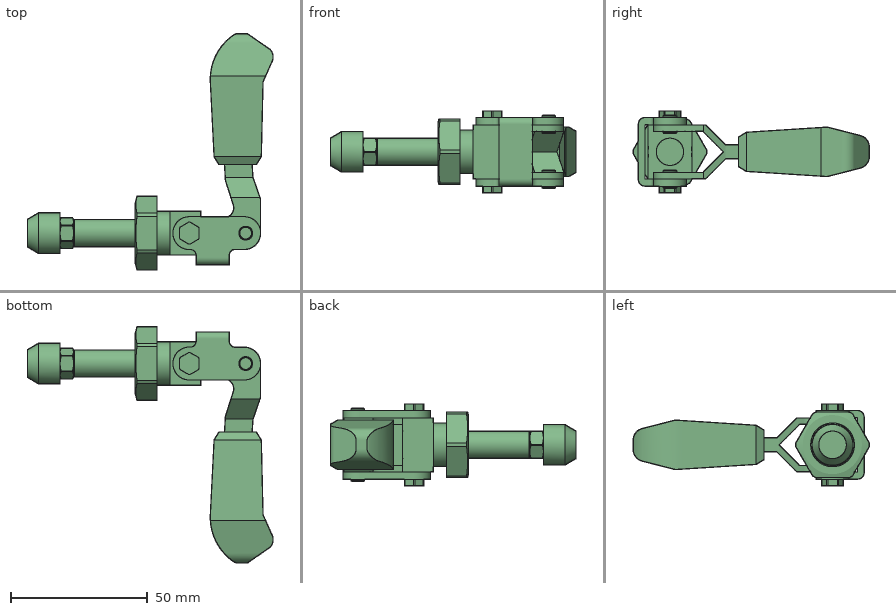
import cadquery as cq
import math


cap_radius = 7.5
cap_face_radius = 5.0
cap_length = 12.05
cap_cone_length = 4.1
spindle_hex_flats = 10.0
spindle_hex_corner_radius = 5.7
spindle_hex_length = 4.9
spindle_hex_chamfer = 0.4
spindle_hex_face_radius = 5.0

plunger_diameter = 10.0
plunger_chamfer = 0.4

nut_start = 39.4
nut_length = 8.1
nut_flats = 24.0
nut_corner_radius = 13.5
nut_face_radius = 10.8
nut_chamfer = 0.7

neck_radius = 8.0
neck_chamfer = 0.45
block_start = 52.3
block_end = 63.5
block_half_height = 9.9

bracket_half_height = 12.6
plate_radius = 6.0
plate_front_center = 59.3
plate_rear_center = 79.3
web_start = 61.7
web_end = 73.9
web_outer_y = -11.6
web_thickness = 2.5
notch_radius = 2.0
bolt_flats = 7.2
bolt_corner_diameter = 8.0
bolt_head_height = 2.4
pivot_x = 79.9
pivot_radius = 2.5
pivot_chamfer = 0.4
pivot_protrusion = 0.8

leg_inner_z = 7.5
shank_half_height = 2.6
fork_bend_y = 13.0
foot_top_y = 5.6
lever_fillet = 3.7
arm_left_foot_x = 76.8
arm_left_bend = (72.4, 19.3)
arm_right_low_bend_y = 12.3
arm_right_high_bend = (82.6, 20.4)
shank_insertion = 13.5
shank_end_left_x = 71.3
shank_end_right_x = 81.4

grip_bottom_y = 25.0
grip_bottom_left_x = 70.1
grip_bottom_right_x = 83.7
grip_bottom_half_height = 5.4
grip_bevel_y = 28.0
grip_bevel_left_x = 68.3
grip_bevel_right_x = 85.6
grip_bevel_half_height = 7.2
grip_widest_y = 57.5
grip_widest_half_height = 9.1
grip_top_y = 72.95
grip_top_half_height = 5.1
grip_end_fillet = 4.5
grip_back_start = (66.9, 54.9)
grip_back_middle = (68.6, 64.3)
grip_back_end = (75.65, 72.6)
grip_top_left_x = 76.5
grip_top_right_x = 80.5
grip_nose_start = (88.7, 67.3)
grip_nose_tip = (89.95, 64.6)
grip_nose_end = (89.4, 62.4)
grip_finger_corner = (86.3, 55.3)

plunger_radius = plunger_diameter / 2
spindle_end = cap_length + spindle_hex_length
nut_end = nut_start + nut_length
shank_end_y = grip_bottom_y + shank_insertion
leg_thickness = block_half_height - leg_inner_z


def x_axis_revolve(profile):
    """Solid of revolution about the X axis from (x, radius) points."""
    return cq.Workplane("XY").polyline(profile).close().revolve(360, (0, 0, 0), (1, 0, 0))


def x_axis_cylinder(radius, start, end):
    return cq.Workplane("YZ", origin=(start, 0, 0)).circle(radius).extrude(end - start)


def hexagon_diameter(flats):
    """Corner-to-corner diameter of a hexagon from its width across flats."""
    return flats / math.cos(math.pi / 6)


def both_sides(upper):
    """The given shape together with its mirror image below Z = 0."""
    return upper.union(upper.mirror("XY"))


def make_spindle():
    cap = x_axis_revolve([
        (0, 0),
        (0, cap_face_radius),
        (cap_cone_length, cap_radius),
        (cap_length, cap_radius),
        (cap_length, 0),
    ])
    hexagon = (
        cq.Workplane("YZ", origin=(cap_length, 0, 0))
        .polygon(6, hexagon_diameter(spindle_hex_flats))
        .extrude(spindle_hex_length)
    )
    turned_envelope = x_axis_revolve([
        (cap_length, 0),
        (cap_length, spindle_hex_face_radius),
        (cap_length + spindle_hex_chamfer, spindle_hex_corner_radius),
        (spindle_end - spindle_hex_chamfer, spindle_hex_corner_radius),
        (spindle_end, spindle_hex_face_radius),
        (spindle_end, 0),
    ])
    return cap.union(hexagon.intersect(turned_envelope))


def make_plunger():
    rod = x_axis_cylinder(plunger_radius, spindle_end, block_end)
    return rod.faces("<X").chamfer(plunger_chamfer)


def make_nut():
    hexagon = (
        cq.Workplane("YZ", origin=(nut_start, 0, 0))
        .polygon(6, hexagon_diameter(nut_flats))
        .extrude(nut_length)
    )
    turned_envelope = x_axis_revolve([
        (nut_start, 0),
        (nut_start, nut_face_radius),
        (nut_start + nut_chamfer, nut_corner_radius),
        (nut_end, nut_corner_radius),
        (nut_end, 0),
    ])
    bore = x_axis_cylinder(neck_radius, nut_start, nut_end)
    return hexagon.intersect(turned_envelope).cut(bore)


def make_housing():
    neck = x_axis_cylinder(neck_radius, nut_start, block_end)
    neck = neck.faces("<X").edges().chamfer(neck_chamfer)
    block = (
        cq.Workplane("YZ", origin=(block_start, 0, 0))
        .rect(2 * neck_radius, 2 * block_half_height)
        .extrude(block_end - block_start)
    )
    bore = x_axis_cylinder(plunger_radius, nut_start, block_end)
    return neck.union(block).cut(bore)


def bracket_channel():
    """Plates and web, bent as one channel, with its outline cut to the lobed plate shape."""
    notch_y = -plate_radius - notch_radius
    fillet_middle = notch_radius * math.cos(math.pi / 4)
    outline = (
        cq.Workplane("XY", origin=(0, 0, -bracket_half_height))
        .moveTo(plate_front_center, plate_radius)
        .lineTo(plate_rear_center, plate_radius)
        .threePointArc((plate_rear_center + plate_radius, 0), (plate_rear_center, -plate_radius))
        .lineTo(web_end + notch_radius, -plate_radius)
        .threePointArc(
            (web_end + notch_radius - fillet_middle, notch_y + fillet_middle),
            (web_end, notch_y),
        )
        .lineTo(web_end, web_outer_y)
        .lineTo(web_start, web_outer_y)
        .lineTo(web_start, notch_y)
        .threePointArc(
            (web_start - notch_radius + fillet_middle, notch_y + fillet_middle),
            (web_start - notch_radius, -plate_radius),
        )
        .lineTo(plate_front_center, -plate_radius)
        .threePointArc((plate_front_center - plate_radius, 0), (plate_front_center, plate_radius))
        .close()
        .extrude(2 * bracket_half_height)
    )
    outline = outline.faces("<Y").edges("|X").fillet(web_thickness)
    inside_start = plate_front_center - plate_radius
    inside_end = plate_rear_center + plate_radius
    inside_floor = web_outer_y + web_thickness
    inside = (
        cq.Workplane("YZ", origin=(inside_start, 0, 0))
        .center((inside_floor + plate_radius) / 2, 0)
        .rect(plate_radius - inside_floor, 2 * block_half_height)
        .extrude(inside_end - inside_start)
    )
    return outline.cut(inside)


def bolt_head():
    """Hexagon head on the upper plate, corners turned off."""
    base = cq.Workplane("XY", origin=(plate_front_center, 0, bracket_half_height))
    hexagon = base.transformed(rotate=(0, 0, 90)).polygon(6, hexagon_diameter(bolt_flats))
    return hexagon.extrude(bolt_head_height).intersect(
        base.circle(bolt_corner_diameter / 2).extrude(bolt_head_height)
    )


def pivot_pin():
    """Pin through the upper plate and lever leg, standing out at both ends."""
    bottom = leg_inner_z - pivot_protrusion
    top = bracket_half_height + pivot_protrusion
    pin = cq.Workplane("XY", origin=(pivot_x, 0, bottom)).circle(pivot_radius).extrude(top - bottom)
    return pin.faces("<Z or >Z").chamfer(pivot_chamfer)


def make_bracket():
    return bracket_channel().union(both_sides(bolt_head())).union(both_sides(pivot_pin()))


def lever_arm():
    """Lever in outline along Z: a round-ended foot and a cranked arm."""
    foot_end = plate_rear_center + plate_radius
    arc_middle = plate_radius * math.cos(math.pi / 4)
    arm = (
        cq.Workplane("XY", origin=(0, 0, -block_half_height))
        .moveTo(block_end, -plate_radius)
        .lineTo(plate_rear_center, -plate_radius)
        .threePointArc((plate_rear_center + arc_middle, -arc_middle), (foot_end, 0))
        .lineTo(foot_end, arm_right_low_bend_y)
        .lineTo(*arm_right_high_bend)
        .lineTo(shank_end_right_x, shank_end_y)
        .lineTo(shank_end_left_x, shank_end_y)
        .lineTo(*arm_left_bend)
        .lineTo(arm_left_foot_x, foot_top_y)
        .lineTo(block_end, foot_top_y)
        .close()
        .extrude(2 * block_half_height)
    )
    foot_corner = cq.selectors.NearestToPointSelector((arm_left_foot_x, foot_top_y, 0))
    return arm.edges(foot_corner).fillet(lever_fillet)


def lever_fork():
    """Lever in outline along X: two legs that close at 45 degrees into the shank."""
    shank_y = fork_bend_y + block_half_height - shank_half_height
    inner_bend_y = fork_bend_y - leg_thickness * math.tan(math.pi / 8)
    apex_y = inner_bend_y + leg_inner_z
    foot_y = -plate_radius
    return (
        cq.Workplane("YZ", origin=(block_end, 0, 0))
        .polyline([
            (foot_y, block_half_height),
            (fork_bend_y, block_half_height),
            (shank_y, shank_half_height),
            (shank_end_y, shank_half_height),
            (shank_end_y, -shank_half_height),
            (shank_y, -shank_half_height),
            (fork_bend_y, -block_half_height),
            (foot_y, -block_half_height),
            (foot_y, -leg_inner_z),
            (inner_bend_y, -leg_inner_z),
            (apex_y, 0),
            (inner_bend_y, leg_inner_z),
            (foot_y, leg_inner_z),
        ])
        .close()
        .extrude(plate_rear_center + plate_radius - block_end)
    )


def make_lever():
    return lever_arm().intersect(lever_fork()).cut(both_sides(pivot_pin()))


def grip_plan():
    """Grip in outline along Z, with the finger nose at the upper right."""
    return (
        cq.Workplane("XY", origin=(0, 0, -grip_widest_half_height))
        .moveTo(grip_bottom_left_x, grip_bottom_y)
        .lineTo(grip_bevel_left_x, grip_bevel_y)
        .lineTo(*grip_back_start)
        .threePointArc(grip_back_middle, grip_back_end)
        .lineTo(grip_top_left_x, grip_top_y)
        .lineTo(grip_top_right_x, grip_top_y)
        .lineTo(*grip_nose_start)
        .threePointArc(grip_nose_tip, grip_nose_end)
        .lineTo(*grip_finger_corner)
        .lineTo(grip_bevel_right_x, grip_bevel_y)
        .lineTo(grip_bottom_right_x, grip_bottom_y)
        .close()
        .extrude(2 * grip_widest_half_height)
    )


def grip_side():
    """Grip in outline along X, tapering both ways from its thickest station."""
    upper_edge = [
        (grip_bottom_y, grip_bottom_half_height),
        (grip_bevel_y, grip_bevel_half_height),
        (grip_widest_y, grip_widest_half_height),
        (grip_top_y, grip_top_half_height),
    ]
    lower_edge = [(y, -z) for y, z in reversed(upper_edge)]
    side = cq.Workplane("YZ").polyline(upper_edge + lower_edge).close().extrude(grip_nose_tip[0])
    return side.faces(">Y").edges("|X").fillet(grip_end_fillet)


def make_grip():
    """Grip with a socket that the lever shank fills."""
    return grip_plan().intersect(grip_side()).cut(make_lever())


spindle = make_spindle()
plunger = make_plunger()
nut = make_nut()
housing = make_housing()
bracket = make_bracket()
lever = make_lever()
grip = make_grip()

bodies = [spindle, plunger, nut, housing, bracket, lever, grip]
result = cq.Compound.makeCompound([body.solids().val() for body in bodies])